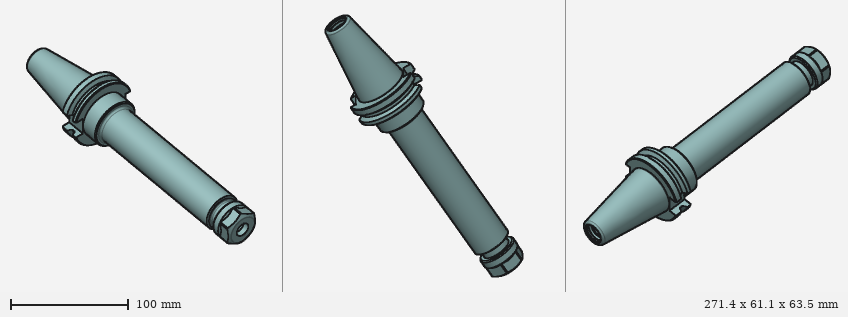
import cadquery as cq
import math

taper_length = 68.25
projection = 203.2
gauge_diameter = 44.45
taper_ratio = 7 / 24
taper_end_diameter = gauge_diameter - taper_ratio * taper_length
taper_end_fillet = 2.0

flange_diameter = 63.5
flange_start = 69.2
flange_end = 87.3
flange_chamfer = 0.7
groove_center = 79.3
groove_floor_width = 3.0
groove_depth = 4.0
groove_half_angle = math.radians(30)
drive_slot_width = 17.2
front_slot_floor = 22.6
back_slot_floor = 25.0

collar_end = 103.6
collar_chamfer = 1.0
collar_root_radius = 2.0
shaft_diameter = 34.0
shaft_end = 244.8
shaft_chamfer_depth = 2.0
shaft_chamfer_length = 0.8
neck_diameter = 25.0
neck_root_radius = 1.0

mouth_diameter = 16.78
mouth_chamfer = 0.97
mouth_depth = 3.0
pilot_diameter = 16.28
pilot_depth = 6.0
thread_diameter = 13.39
thread_depth = 30.0
through_diameter = 12.75

nut_start = 251.75
nut_end = taper_length + projection
nut_diameter = 34.0
nut_back_chamfer = 1.2
nut_collar_end = 259.1
hex_across_flats = 30.0
shoulder_length = 1.7
nut_face_diameter = 26.0
nut_face_cone_length = 2.5
nut_face_fillet = 0.8
nut_front_wall = 6.0
neck_end = nut_end - nut_front_wall


def revolve_about_x(points):
    """Revolve a closed (x, radius) outline about the X axis."""
    return cq.Workplane("XY").polyline(points).close().revolve(360, (0, 0, 0), (1, 0, 0))


def disc(diameter, start, end):
    """Cylinder along X between two stations."""
    return cq.Workplane("YZ", origin=(start, 0, 0)).circle(diameter / 2).extrude(end - start)


def cone(start, start_diameter, end, end_diameter):
    """Solid cone along X between two stations."""
    return revolve_about_x([(start, 0), (start, start_diameter / 2), (end, end_diameter / 2), (end, 0)])


def make_shank():
    shank = cone(0, taper_end_diameter, taper_length, gauge_diameter)
    shank = shank.faces("<X").edges().fillet(taper_end_fillet)
    return shank.union(disc(gauge_diameter, taper_length, flange_start))


def make_flange():
    flange = disc(flange_diameter, flange_start, flange_end)
    flange = flange.edges().chamfer(flange_chamfer)
    floor_radius = flange_diameter / 2 - groove_depth
    floor_half = groove_floor_width / 2
    mouth_half = floor_half + groove_depth * math.tan(groove_half_angle)
    groove = revolve_about_x([
        (groove_center - mouth_half, flange_diameter / 2),
        (groove_center - floor_half, floor_radius),
        (groove_center + floor_half, floor_radius),
        (groove_center + mouth_half, flange_diameter / 2),
    ])
    flange = flange.cut(groove)
    slot_depth = flange_diameter / 2
    for side, floor in ((-1, front_slot_floor), (1, back_slot_floor)):
        slot = cq.Workplane("XY").box(flange_end - flange_start, slot_depth, drive_slot_width)
        slot = slot.translate(((flange_start + flange_end) / 2, side * (floor + slot_depth / 2), 0))
        flange = flange.cut(slot)
    return flange


def make_body():
    collar_radius = gauge_diameter / 2
    shaft_radius = shaft_diameter / 2
    neck_radius = neck_diameter / 2
    outline = (
        cq.Workplane("XY")
        .moveTo(flange_end, 0)
        .lineTo(flange_end, collar_radius)
        .lineTo(collar_end - collar_chamfer, collar_radius)
        .lineTo(collar_end, collar_radius - collar_chamfer)
        .lineTo(collar_end, shaft_radius + collar_root_radius)
        .radiusArc((collar_end + collar_root_radius, shaft_radius), -collar_root_radius)
        .lineTo(shaft_end - shaft_chamfer_length, shaft_radius)
        .lineTo(shaft_end, shaft_radius - shaft_chamfer_depth)
        .lineTo(shaft_end, neck_radius + neck_root_radius)
        .radiusArc((shaft_end + neck_root_radius, neck_radius), -neck_root_radius)
        .lineTo(neck_end, neck_radius)
        .lineTo(neck_end, 0)
        .close()
    )
    return outline.revolve(360, (0, 0, 0), (1, 0, 0))


def make_bore():
    mouth = cone(0, mouth_diameter + 2 * mouth_chamfer, mouth_chamfer, mouth_diameter)
    mouth = mouth.union(disc(mouth_diameter, 0, mouth_depth))
    pilot = disc(pilot_diameter, 0, pilot_depth)
    thread = disc(thread_diameter, 0, thread_depth)
    through = disc(through_diameter, 0, neck_end)
    return mouth.union(pilot).union(thread).union(through)


def make_holder():
    return make_shank().union(make_flange()).union(make_body()).cut(make_bore())


def make_nut():
    blank = revolve_about_x([
        (nut_start, 0),
        (nut_start, nut_diameter / 2 - nut_back_chamfer),
        (nut_start + nut_back_chamfer, nut_diameter / 2),
        (nut_end - nut_face_cone_length, nut_diameter / 2),
        (nut_end, nut_face_diameter / 2),
        (nut_end, 0),
    ])
    blank = blank.faces(">X").edges().fillet(nut_face_fillet)
    collar = disc(nut_diameter, nut_start, nut_collar_end)
    shoulder = cone(nut_collar_end, nut_diameter, nut_collar_end + shoulder_length, hex_across_flats)
    hexagon = (
        cq.Workplane("YZ", origin=(nut_collar_end, 0, 0))
        .polygon(6, hex_across_flats / math.cos(math.pi / 6))
        .extrude(nut_end - nut_collar_end)
        .rotate((0, 0, 0), (1, 0, 0), 90)
    )
    nut = blank.intersect(collar.union(shoulder).union(hexagon))
    nut = nut.cut(disc(neck_diameter, nut_start, neck_end))
    return nut.cut(disc(through_diameter, neck_end, nut_end))


holder = make_holder()
nut = make_nut()

result = cq.Compound.makeCompound([holder.val(), nut.val()])